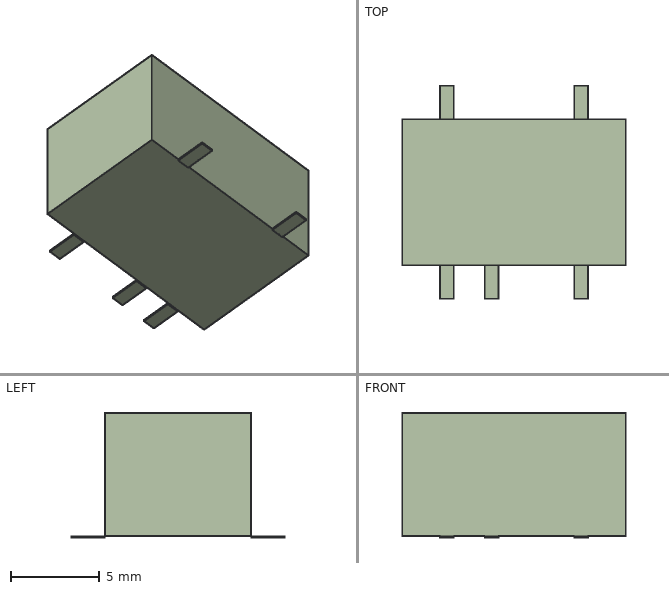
import cadquery as cq

housing_length = 12.7
housing_width = 8.3
housing_height = 7.0

lead_span = 12.1
lead_width = 0.8
lead_thickness = 0.1
lead_length = (lead_span - housing_width) / 2
lead_pitch = 1.27

FRONT, BACK = -1, 1
lead_places = [(-3, FRONT), (-1, FRONT), (3, FRONT), (-3, BACK), (3, BACK)]


def make_housing():
    return cq.Workplane("XY").box(
        housing_length, housing_width, housing_height, centered=(True, True, False)
    )


def make_lead(pitches, side):
    """One flat lead reaching outward from the housing's front or back edge."""
    middle_y = side * (housing_width + lead_length) / 2
    return (
        cq.Workplane("XY")
        .box(lead_width, lead_length, lead_thickness, centered=(True, True, False))
        .translate((pitches * lead_pitch, middle_y, -lead_thickness))
    )


housing = make_housing()
leads = [make_lead(pitches, side) for pitches, side in lead_places]

result = cq.Compound.makeCompound([housing.val(), *[lead.val() for lead in leads]])